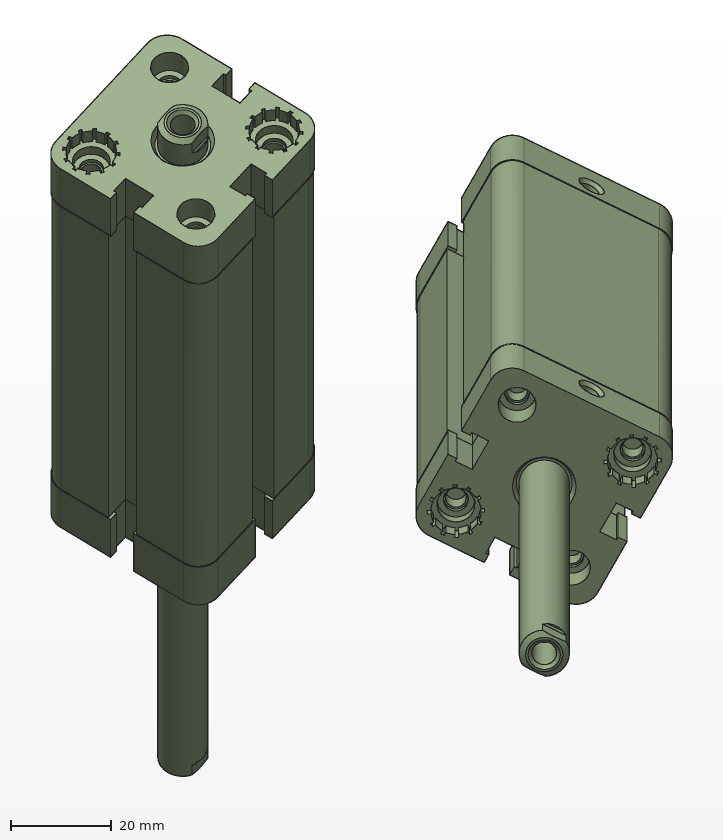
import cadquery as cq

body_length = 119.0
cap_length = 12.5
tube_length = body_length - 2 * cap_length
cap_width = 40.3
tube_width = 40.0
corner_radius = 4.9

rod_diameter = 10.0
rod_short_end = 6.0
rod_long_end = 86.0
rod_tip_diameter = 7.4
rod_tip_chamfer_length = 0.7
rod_flat_width = 8.5
rod_flat_length = 4.2
rod_flat_fillet = 0.4
rod_thread_diameter = 4.92
rod_thread_mouth_diameter = 6.4
rod_thread_depth = 12.0

body_bottom = rod_long_end
tube_bottom = body_bottom + cap_length
tube_top = tube_bottom + tube_length
body_top = tube_top + cap_length
rod_top = body_top + rod_short_end

slot_mouth_width = 5.7
slot_width = 7.0
slot_lip = 2.0
slot_depth = 5.8

rod_recess_mouth_diameter = 12.6
rod_recess_diameter = 11.1
rod_recess_depth = 1.5

hole_spacing = 26.0
mount_diameter = 7.5
mount_depth = 6.0
thread_diameter = 4.92
thread_start_depth = 1.0
thread_core_diameter = 4.13
thread_core_depth = 5.0

spline_diameter = 11.4
spline_root_diameter = 10.0
spline_groove_count = 12
spline_groove_width = 0.7
spline_depth = 3.5

port_diameter = thread_core_diameter
port_mouth_diameter = 5.7
port_depth = 8.0
port_inset = 7.8


def square_prism(width, bottom, length):
    """Upright square bar with rounded corners."""
    prism = cq.Workplane("XY").workplane(offset=bottom).rect(width, width).extrude(length)
    return prism.edges("|Z").fillet(corner_radius)


def cylinder(start, direction, diameter, depth):
    solid = cq.Solid.makeCylinder(diameter / 2, depth, cq.Vector(*start), cq.Vector(*direction))
    return cq.Workplane(solid)


def cone(start, direction, diameter, end_diameter, depth):
    solid = cq.Solid.makeCone(
        diameter / 2, end_diameter / 2, depth, cq.Vector(*start), cq.Vector(*direction)
    )
    return cq.Workplane(solid)


def countersunk_hole(start, direction, diameter, mouth_diameter, depth):
    """Blind hole with a 45 degree countersink."""
    countersink_depth = (mouth_diameter - diameter) / 2
    hole = cylinder(start, direction, diameter, depth)
    return hole.union(cone(start, direction, mouth_diameter, diameter, countersink_depth))


def slots(mouth_width, bottom, length):
    """Cutter for the three side slots, running the given length upward."""
    side = cap_width / 2
    floor = side - slot_depth
    chamber_depth = slot_depth - slot_lip
    plane = cq.Workplane("XY").workplane(offset=bottom)
    mouth = plane.moveTo(side - slot_depth / 2, 0).rect(slot_depth, mouth_width).extrude(length)
    chamber = plane.moveTo(floor + chamber_depth / 2, 0).rect(chamber_depth, slot_width).extrude(length)
    slot = mouth.union(chamber)
    cutter = slot
    for angle in (-90, 90):
        cutter = cutter.union(slot.rotate((0, 0, 0), (0, 0, 1), angle))
    return cutter


def mounting_hole(x, y, face, inward):
    into = (0, 0, inward)
    seat = (x, y, face + inward * mount_depth)
    hole = cylinder((x, y, face), into, mount_diameter, mount_depth)
    hole = hole.union(cylinder(seat, into, thread_diameter, thread_start_depth))
    return hole.union(cylinder(seat, into, thread_core_diameter, thread_core_depth))


def splined_recess(x, y, face, inward):
    """Round recess with axial grooves spaced evenly around its wall."""
    depth = inward * spline_depth
    groove_reach = spline_diameter / 2
    plane = cq.Workplane("XY").workplane(offset=face)
    recess = plane.circle(spline_root_diameter / 2).extrude(depth)
    groove = plane.moveTo(groove_reach / 2, 0).rect(groove_reach, spline_groove_width).extrude(depth)
    for index in range(spline_groove_count):
        angle = index * 360 / spline_groove_count
        recess = recess.union(groove.rotate((0, 0, 0), (0, 0, 1), angle))
    return recess.translate((x, y, 0))


def make_tube():
    tube = square_prism(tube_width, tube_bottom, tube_length)
    tube = tube.cut(slots(slot_width, tube_bottom, tube_length))
    return tube.cut(cylinder((0, 0, tube_bottom), (0, 0, 1), rod_diameter, tube_length))


def make_cap(bottom, face, inward):
    """End cap: face is the height of its outer face, inward is the Z sense into the cap."""
    into = (0, 0, inward)
    center = (0, 0, face)
    cap = square_prism(cap_width, bottom, cap_length)
    cap = cap.cut(slots(slot_mouth_width, bottom, cap_length))

    cap = cap.cut(cylinder(center, into, rod_diameter, cap_length))
    cap = cap.cut(cone(center, into, rod_recess_mouth_diameter, rod_recess_diameter, rod_recess_depth))

    for x_side in (-1, 1):
        for y_side in (-1, 1):
            x = x_side * hole_spacing / 2
            y = y_side * hole_spacing / 2
            cap = cap.cut(mounting_hole(x, y, face, inward))
            if x_side == y_side:
                cap = cap.cut(splined_recess(x, y, face, inward))

    port_start = (-cap_width / 2, 0, face + inward * port_inset)
    return cap.cut(countersunk_hole(port_start, (1, 0, 0), port_diameter, port_mouth_diameter, port_depth))


def rod_flat(side, tip, inward):
    """Cutter for one wrench flat, with a rounded shoulder at its inner end."""
    flat_x = side * rod_flat_width / 2
    outer_x = side * rod_diameter / 2
    flat_end = tip + inward * rod_flat_length
    return (
        cq.Workplane("XZ")
        .moveTo(flat_x, tip)
        .lineTo(flat_x, flat_end - inward * rod_flat_fillet)
        .radiusArc((flat_x + side * rod_flat_fillet, flat_end), -side * inward * rod_flat_fillet)
        .lineTo(outer_x, flat_end)
        .lineTo(outer_x, tip)
        .close()
        .extrude(rod_diameter / 2, both=True)
    )


def make_rod():
    radius = rod_diameter / 2
    tip_radius = rod_tip_diameter / 2
    half_outline = (
        cq.Workplane("XZ")
        .lineTo(tip_radius, 0)
        .lineTo(radius, rod_tip_chamfer_length)
        .lineTo(radius, rod_top - rod_tip_chamfer_length)
        .lineTo(tip_radius, rod_top)
        .lineTo(0, rod_top)
        .close()
    )
    rod = half_outline.revolve(360, (0, 0, 0), (0, 1, 0))
    for tip, inward in ((0, 1), (rod_top, -1)):
        for side in (-1, 1):
            rod = rod.cut(rod_flat(side, tip, inward))
        thread = countersunk_hole(
            (0, 0, tip), (0, 0, inward), rod_thread_diameter, rod_thread_mouth_diameter, rod_thread_depth
        )
        rod = rod.cut(thread)
    return rod


tube = make_tube()
top_cap = make_cap(tube_top, body_top, -1)
bottom_cap = make_cap(body_bottom, body_bottom, 1)
rod = make_rod()

result = cq.Compound.makeCompound([tube.val(), top_cap.val(), bottom_cap.val(), rod.val()])